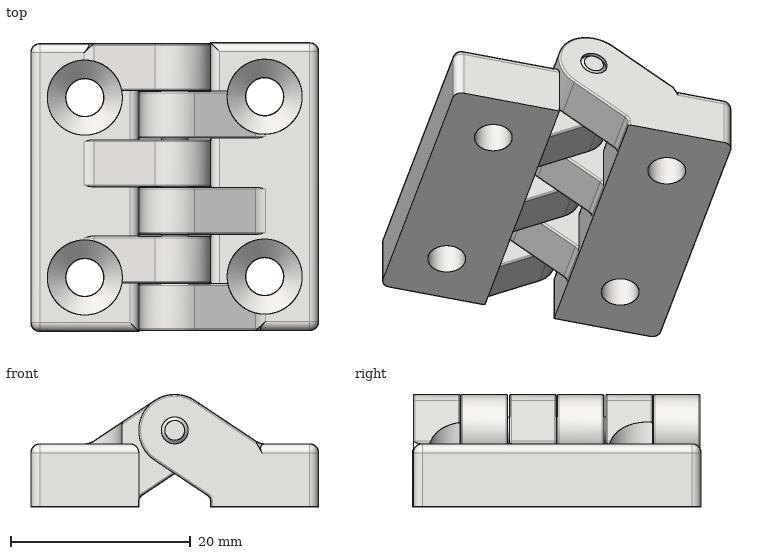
import cadquery as cq
import math

hinge_half_width = 16.0
leaf_length = 32.0
leaf_thickness = 7.0
leaf_inner_edge = 4.0
leaf_offset = 0.05
leaf_edge_radius = 1.0
leaf_start = leaf_offset - leaf_length / 2

pin_height = 8.5
barrel_radius = 4.0
arm_angle = math.atan(2 / 3)
arm_root_radius = 2.0
runout_x = 9.7
runout_trim_size = 4.0
arm_heel_radius = 0.8
knuckle_edge_radius = 0.2
knuckles_per_leaf = 3
knuckle_width = 5.22
knuckle_pitch = 10.7

pin_length = leaf_length - 2 * leaf_offset
pin_diameter = 3.0
pin_chamfer = 0.4
pin_bore_overrun = 1.0

screw_diameter = 4.2
head_diameter = 8.35
head_recess_depth = 0.55
screw_x = 10.0
screw_spacing = 20.0
countersink_depth = (head_diameter - screw_diameter) / 2

slope_cos = math.cos(arm_angle)
slope_sin = math.sin(arm_angle)
slope_tan = math.tan(arm_angle)

arm_root_x = (barrel_radius + (pin_height - leaf_thickness) * slope_cos) / slope_sin
root_tangent = arm_root_radius * math.tan(arm_angle / 2)
root_start = (
    arm_root_x - root_tangent * slope_cos,
    leaf_thickness + root_tangent * slope_sin,
)
root_end = (arm_root_x + root_tangent, leaf_thickness)


def make_plate():
    plate = cq.Workplane("XY").box(
        hinge_half_width - leaf_inner_edge, leaf_length, leaf_thickness, centered=False
    )
    plate = plate.translate((leaf_inner_edge, leaf_start, 0))
    plate = plate.edges("|Z and >X").fillet(leaf_edge_radius)
    plate = plate.edges("<X").edges("|Z and <Y").fillet(knuckle_edge_radius)
    return plate.faces(">Z").edges().fillet(leaf_edge_radius)


def make_knuckle(start_y):
    """Barrel and sloping arm, reaching down to the bottom of the leaf."""
    tangent_x = barrel_radius * slope_sin
    tangent_z = barrel_radius * slope_cos
    half_slope = arm_angle / 2
    root_middle = (
        root_end[0] - arm_root_radius * math.sin(half_slope),
        leaf_thickness + arm_root_radius * (1 - math.cos(half_slope)),
    )
    heel_z = pin_height - barrel_radius / slope_cos - leaf_inner_edge * slope_tan
    knuckle = (
        cq.Workplane("XZ")
        .moveTo(tangent_x, pin_height + tangent_z)
        .lineTo(*root_start)
        .threePointArc(root_middle, root_end)
        .lineTo(root_end[0], 0)
        .lineTo(leaf_inner_edge, 0)
        .lineTo(leaf_inner_edge, heel_z)
        .lineTo(-tangent_x, pin_height - tangent_z)
        .threePointArc(
            (-barrel_radius * slope_cos, pin_height + barrel_radius * slope_sin),
            (tangent_x, pin_height + tangent_z),
        )
        .close()
        .extrude(-knuckle_width)
    )
    heel = cq.selectors.NearestToPointSelector((leaf_inner_edge, knuckle_width / 2, heel_z))
    knuckle = knuckle.edges(heel).fillet(arm_heel_radius)
    knuckle = knuckle.faces("<Y or >Y").edges().fillet(knuckle_edge_radius)
    return knuckle.translate((0, start_y, 0))


def make_root_trim():
    """Oblique block that lets the end edge rounding of the leaf run out at the arm root."""
    upper = cq.Vector(root_start[0], leaf_start, root_start[1])
    lower = cq.Vector(runout_x, leaf_start, leaf_thickness - leaf_edge_radius)
    inner = cq.Vector(root_end[0], leaf_start + leaf_edge_radius, leaf_thickness)
    along = lower - upper
    outward = along.cross(inner - upper)
    plane = cq.Plane(origin=upper, xDir=along, normal=outward)
    return cq.Workplane(plane).rect(runout_trim_size, runout_trim_size).extrude(runout_trim_size)


def make_screw_cutter(center_y):
    """Through hole, countersink and the head clearance above it."""
    seat_top = leaf_thickness - head_recess_depth
    seat_bottom = seat_top - countersink_depth
    top = pin_height + barrel_radius
    cutter = (
        cq.Workplane("XZ")
        .lineTo(screw_diameter / 2, 0)
        .lineTo(screw_diameter / 2, seat_bottom)
        .lineTo(head_diameter / 2, seat_top)
        .lineTo(head_diameter / 2, top)
        .lineTo(0, top)
        .close()
        .revolve(360, (0, 0), (0, 1))
    )
    return cutter.translate((screw_x, center_y, 0))


def make_pin(extra_length=0.0):
    length = pin_length + extra_length
    return (
        cq.Workplane("XZ", origin=(0, -length / 2, pin_height))
        .circle(pin_diameter / 2)
        .extrude(-length)
    )


def make_leaf():
    leaf = make_plate()
    for index in range(knuckles_per_leaf):
        knuckle = make_knuckle(index * knuckle_pitch - pin_length / 2)
        if index == 0:
            knuckle = knuckle.cut(make_root_trim())
        leaf = leaf.union(knuckle)
    for side in (-1, 1):
        leaf = leaf.cut(make_screw_cutter(leaf_offset + side * screw_spacing / 2))
    return leaf.cut(make_pin(extra_length=pin_bore_overrun))


right_leaf = make_leaf()
left_leaf = right_leaf.rotate((0, 0, 0), (0, 0, 1), 180)
pin = make_pin().faces("<Y or >Y").edges().chamfer(pin_chamfer)
result = right_leaf.union(pin).union(left_leaf)